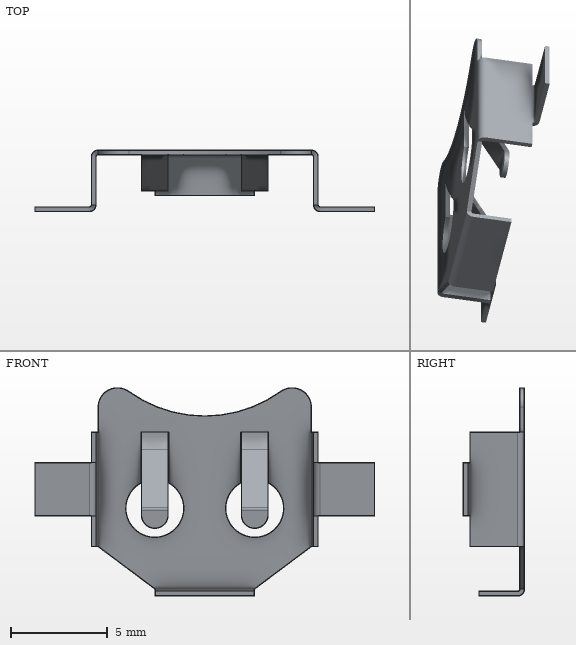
import cadquery as cq
import math

sheet = 0.25
bend_radius = 0.1
outer_bend_radius = bend_radius + sheet

overall_width = 17.58
overall_depth = 3.18
overall_height = 10.78

plate_half_width = 5.52
ear_radius = 1.0
dip_bottom = 9.32
hole_x = 2.58
hole_z = 4.54
hole_radius = 1.5

lip_width = 5.13
lip_depth = 2.35

side_center_z = 5.52
wing_height = 5.92
tab_height = 2.76
wing_top = side_center_z + wing_height / 2
wing_bottom = side_center_z - wing_height / 2
wing_end_depth = overall_depth - outer_bend_radius

finger_width = 1.39
finger_clearance = 0.02
finger_top = wing_top
finger_bottom = 3.5
finger_depth = 2.11
finger_angle = 28.0
finger_root_radius = 1.9


def strip_profile(workplane, start, heading, steps):
    """Closed profile of a bent strip of sheet that follows a middle line.

    Each step is ("line", length) or ("bend", signed angle in degrees, inner radius).
    A positive angle turns left.
    """
    half = sheet / 2

    def normal(angle):
        return cq.Vector(-math.sin(math.radians(angle)), math.cos(math.radians(angle)))

    def edge_point(station, side):
        point, angle = station
        return (point + normal(angle) * (side * half)).toTuple()[:2]

    stations = [(cq.Vector(*start), heading)]
    arc_middles = []
    for kind, *values in steps:
        point, angle = stations[-1]
        if kind == "line":
            direction = normal(angle - 90)
            stations.append((point + direction * values[0], angle))
            arc_middles.append(None)
        else:
            turn, inner_radius = values
            to_center = math.copysign(inner_radius + half, turn)
            center = point + normal(angle) * to_center
            middle_angle = angle + turn / 2
            end_angle = angle + turn
            arc_middles.append((center - normal(middle_angle) * to_center, middle_angle))
            stations.append((center - normal(end_angle) * to_center, end_angle))

    def trace(profile, path, middles, side):
        for middle, end in zip(middles, path):
            if middle is None:
                profile = profile.lineTo(*edge_point(end, side))
            else:
                profile = profile.threePointArc(edge_point(middle, side), edge_point(end, side))
        return profile

    profile = workplane.moveTo(*edge_point(stations[0], 1))
    profile = trace(profile, stations[1:], arc_middles, 1)
    profile = profile.lineTo(*edge_point(stations[-1], -1))
    profile = trace(profile, stations[-2::-1], arc_middles[::-1], -1)
    return profile.close()


def make_plate():
    ear_x = plate_half_width - ear_radius
    ear_z = overall_height - ear_radius
    rise = ear_z - dip_bottom
    dip_radius = (ear_x**2 + rise**2 - ear_radius**2) / (2 * (ear_radius + rise))
    dip_center_z = dip_bottom + dip_radius
    share = ear_radius / (ear_radius + dip_radius)
    tangent_x = ear_x * (1 - share)
    tangent_z = ear_z + (dip_center_z - ear_z) * share
    half_lip = lip_width / 2
    plate = (
        cq.Workplane("XZ")
        .moveTo(-half_lip, outer_bend_radius)
        .lineTo(half_lip, outer_bend_radius)
        .lineTo(plate_half_width, wing_bottom)
        .lineTo(plate_half_width, ear_z)
        .threePointArc((ear_x, overall_height), (tangent_x, tangent_z))
        .threePointArc((0, dip_bottom), (-tangent_x, tangent_z))
        .threePointArc((-ear_x, overall_height), (-plate_half_width, ear_z))
        .lineTo(-plate_half_width, wing_bottom)
        .close()
        .extrude(sheet)
    )
    slot_width = finger_width + 2 * finger_clearance
    slot_length = finger_top - hole_z
    hole_places = [(-hole_x, hole_z), (hole_x, hole_z)]
    slot_places = [(-hole_x, hole_z + slot_length / 2), (hole_x, hole_z + slot_length / 2)]
    holes = cq.Workplane("XZ").pushPoints(hole_places).circle(hole_radius).extrude(sheet)
    slots = cq.Workplane("XZ").pushPoints(slot_places).rect(slot_width, slot_length).extrude(sheet)
    return plate.cut(holes).cut(slots)


def make_lip():
    steps = [("bend", -90, bend_radius), ("line", lip_depth - outer_bend_radius)]
    profile = strip_profile(cq.Workplane("YZ"), (-sheet / 2, outer_bend_radius), -90, steps)
    return profile.extrude(lip_width / 2, both=True)


def make_right_wing():
    web_steps = [("bend", -90, bend_radius), ("line", wing_end_depth - outer_bend_radius)]
    web = strip_profile(cq.Workplane("XY"), (plate_half_width, -sheet / 2), 0, web_steps)

    web_middle_x = plate_half_width + bend_radius + sheet / 2
    tab_start_x = plate_half_width + outer_bend_radius + bend_radius
    tab_steps = [("bend", 90, bend_radius), ("line", overall_width / 2 - tab_start_x)]
    tab = strip_profile(cq.Workplane("XY"), (web_middle_x, -wing_end_depth), -90, tab_steps)

    wing = web.extrude(wing_height / 2, both=True).union(tab.extrude(tab_height / 2, both=True))
    return wing.translate((0, 0, side_center_z))


def make_clip():
    right_wing = make_right_wing()
    return make_plate().union(make_lip()).union(right_wing).union(right_wing.mirror("YZ"))


def make_finger(center_x):
    sine = math.sin(math.radians(finger_angle))
    cosine = math.cos(math.radians(finger_angle))
    bend_radii = finger_root_radius + outer_bend_radius
    slope_length = (finger_depth - sheet - bend_radii * (1 - cosine)) / sine
    tip_length = finger_top - finger_bottom - bend_radii * sine - slope_length * cosine
    steps = [
        ("bend", -finger_angle, finger_root_radius),
        ("line", slope_length),
        ("bend", finger_angle, bend_radius),
        ("line", tip_length),
    ]
    strip = strip_profile(cq.Workplane("YZ"), (-sheet / 2, finger_top), -90, steps)
    strip = strip.extrude(finger_width / 2, both=True)

    tip_radius = finger_width / 2
    tip_center_z = finger_bottom + tip_radius
    outline = (
        cq.Workplane("XZ")
        .moveTo(-tip_radius, finger_top)
        .lineTo(-tip_radius, tip_center_z)
        .threePointArc((0, finger_bottom), (tip_radius, tip_center_z))
        .lineTo(tip_radius, finger_top)
        .close()
        .extrude(finger_depth)
    )
    return strip.intersect(outline).translate((center_x, 0, 0))


clip = make_clip()
fingers = [make_finger(side * hole_x) for side in (-1, 1)]

result = cq.Compound.makeCompound([clip.val(), *[finger.val() for finger in fingers]])